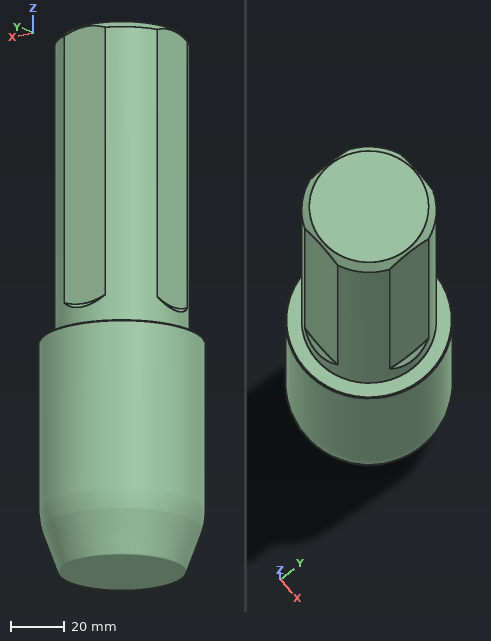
import math
import cadquery as cq

length = 210.0
body_diameter = 63.0
body_length = 90.3
body_chamfer = 0.5

taper_length = 20.2
taper_angle = 20.0
shoulder_fillet = 21.0
tip_fillet = 1.0

shank_diameter = 50.8
shank_chamfer = 3.0
flat_distance = 23.5
flat_start = 100.4
flat_end_radius = 26.2
flat_count = 4

body_radius = body_diameter / 2
shank_radius = shank_diameter / 2
tip_radius = body_radius - taper_length * math.tan(math.radians(taper_angle))


def body():
    """Cylindrical body standing on its rounded, tapered nose, with its top rim chamfered."""
    blank = (
        cq.Workplane("XZ")
        .moveTo(0, 0)
        .lineTo(tip_radius, 0)
        .lineTo(body_radius, taper_length)
        .lineTo(body_radius, body_length)
        .lineTo(0, body_length)
        .close()
        .revolve(360, (0, 0, 0), (0, 1, 0))
    )
    shoulder = cq.selectors.NearestToPointSelector((0, 0, taper_length))
    rounded = blank.edges("%CIRCLE").edges(shoulder).fillet(shoulder_fillet)
    rounded = rounded.faces("<Z").edges().fillet(tip_fillet)
    return rounded.faces(">Z").chamfer(body_chamfer)


def shank():
    """Straight shank on top of the body, chamfered at its free end."""
    return (
        cq.Workplane("XY")
        .workplane(offset=body_length)
        .circle(shank_radius)
        .extrude(length - body_length)
        .faces(">Z")
        .chamfer(shank_chamfer)
    )


def flat_cutter():
    """Cutter for the +X flat: a 45-degree cone for the rounded run-out and a box above it."""
    depth = body_radius - flat_distance
    cone_center = flat_start + flat_end_radius
    cone = cq.Workplane(
        cq.Solid.makeCone(
            flat_end_radius,
            flat_end_radius + depth,
            depth,
            cq.Vector(flat_distance, 0, cone_center),
            cq.Vector(1, 0, 0),
        )
    )
    box = (
        cq.Workplane("XY")
        .box(depth, body_diameter, length - cone_center, centered=(False, True, False))
        .translate((flat_distance, 0, cone_center))
    )
    return cone.union(box)


result = body().union(shank())
for index in range(flat_count):
    angle = index * 360 / flat_count
    result = result.cut(flat_cutter().rotate((0, 0, 0), (0, 0, 1), angle))